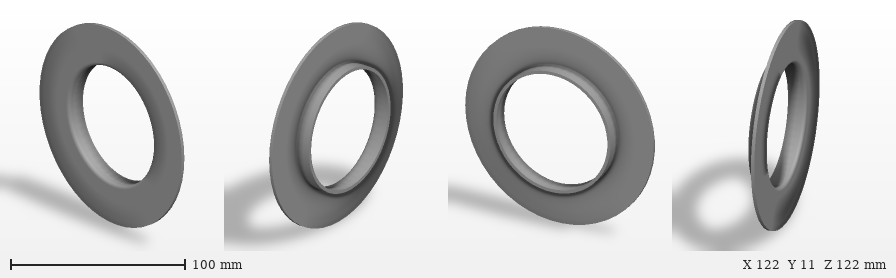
import cadquery as cq
import math

flange_diameter = 122.0
bore_diameter = 72.0
wall = 2.0
overall_depth = 11.0
entry_radius = 2.0
root_radius = 1.0

flange_radius = flange_diameter / 2
bore_radius = bore_diameter / 2
collar_radius = bore_radius + wall


def arc_middle(center_x, center_y, radius):
    """Midpoint of the quarter arc on the inner, front side of its centre."""
    offset = radius * math.cos(math.radians(45))
    return (center_x - offset, center_y - offset)


def half_section():
    """Closed radial section: X is the radius, Y is the part axis, front face at Y = 0."""
    entry_middle = arc_middle(bore_radius + entry_radius, entry_radius, entry_radius)
    root_middle = arc_middle(collar_radius + root_radius, wall + root_radius, root_radius)
    return (
        cq.Workplane("XY")
        .moveTo(bore_radius + entry_radius, 0)
        .lineTo(flange_radius, 0)
        .lineTo(flange_radius, wall)
        .lineTo(collar_radius + root_radius, wall)
        .threePointArc(root_middle, (collar_radius, wall + root_radius))
        .lineTo(collar_radius, overall_depth)
        .lineTo(bore_radius, overall_depth)
        .lineTo(bore_radius, entry_radius)
        .threePointArc(entry_middle, (bore_radius + entry_radius, 0))
        .close()
    )


result = half_section().revolve(360, (0, 0, 0), (0, 1, 0))